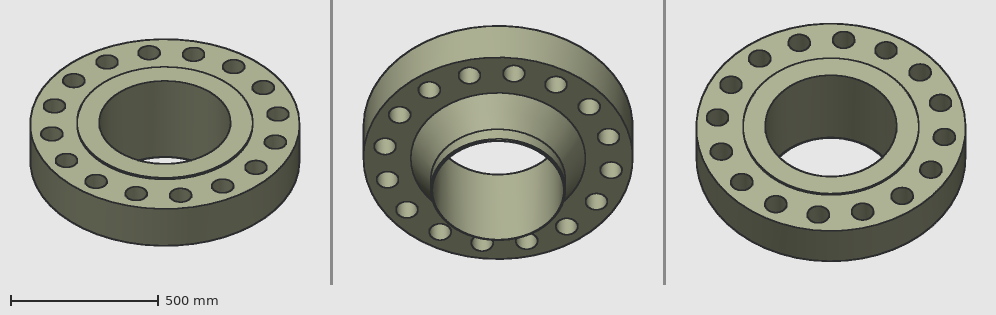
import cadquery as cq

flange_diameter = 914.0
raised_face_diameter = 597.0
hub_top_diameter = 592.5
neck_diameter = 457.0
bore_diameter = 446.0

total_height = 334.0
raised_face_height = 7.0
flange_thickness = 162.0
neck_height = 55.0
bevel_width = 3.0
bevel_height = 5.5

bolt_count = 16
bolt_hole_diameter = 74.0
bolt_circle_diameter = 774.5
first_bolt_angle = 180 / bolt_count

flange_top = total_height - raised_face_height
flange_bottom = flange_top - flange_thickness


def flange_body():
    """Revolve the bevelled neck, tapered hub, flange and raised face around the bore."""
    bore_radius = bore_diameter / 2
    neck_radius = neck_diameter / 2
    hub_radius = hub_top_diameter / 2
    flange_radius = flange_diameter / 2
    face_radius = raised_face_diameter / 2
    profile = [
        (bore_radius, 0),
        (neck_radius - bevel_width, 0),
        (neck_radius, bevel_height),
        (neck_radius, neck_height),
        (hub_radius, flange_bottom),
        (flange_radius, flange_bottom),
        (flange_radius, flange_top),
        (face_radius, flange_top),
        (face_radius, total_height),
        (bore_radius, total_height),
    ]
    return cq.Workplane("XZ").polyline(profile).close().revolve(360, (0, 0), (0, 1))


def bolt_holes():
    """Cylinders that cut the ring of bolt holes through the flange."""
    return (
        cq.Workplane("XY", origin=(0, 0, flange_bottom))
        .polarArray(bolt_circle_diameter / 2, first_bolt_angle, 360, bolt_count)
        .circle(bolt_hole_diameter / 2)
        .extrude(flange_thickness)
    )


result = flange_body().cut(bolt_holes())